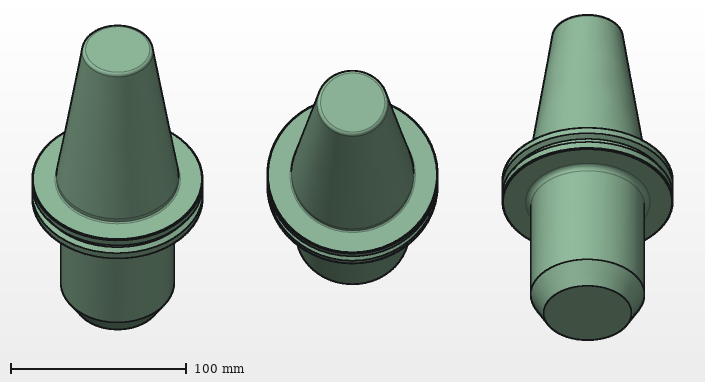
import cadquery as cq
import math

total_height = 201.5

gauge_height = 99.8
gauge_radius = 34.9
taper_slope = 7 / 48
taper_top_radius = gauge_radius - taper_slope * (total_height - gauge_height)
taper_top_round = 2.0
taper_foot_fillet = 0.8

flange_diameter = 97.4
flange_radius = flange_diameter / 2
flange_top = gauge_height - 3.2
flange_bottom = flange_top - 15.7
flange_chamfer = 0.6
groove_height = 89.0
groove_depth = 3.0
groove_floor_half = 1.5
groove_wall_angle = 30
groove_mouth_half = groove_floor_half + groove_depth * math.tan(math.radians(groove_wall_angle))

shank_radius = 32.5
shank_fillet = 3.0
nose_radius = 25.0
nose_height = 13.3


def make_body():
    """Revolve the taper, plain flange and shank as one profile."""
    profile = (
        cq.Workplane("XZ")
        .moveTo(0, 0)
        .lineTo(nose_radius, 0)
        .lineTo(shank_radius, nose_height)
        .lineTo(shank_radius, flange_bottom - shank_fillet)
        .radiusArc((shank_radius + shank_fillet, flange_bottom), shank_fillet)
        .lineTo(flange_radius - flange_chamfer, flange_bottom)
        .lineTo(flange_radius, flange_bottom + flange_chamfer)
        .lineTo(flange_radius, flange_top - flange_chamfer)
        .lineTo(flange_radius - flange_chamfer, flange_top)
        .lineTo(gauge_radius + taper_foot_fillet, flange_top)
        .radiusArc((gauge_radius, flange_top + taper_foot_fillet), taper_foot_fillet)
        .lineTo(gauge_radius, gauge_height)
        .lineTo(taper_top_radius, total_height)
        .lineTo(0, total_height)
        .close()
    )
    body = profile.revolve(360, (0, 0, 0), (0, 1, 0))
    return body.faces(">Z").edges().fillet(taper_top_round)


def make_groove():
    """Ring-shaped cutter for the V groove around the flange."""
    floor_radius = flange_radius - groove_depth
    profile = cq.Workplane("XZ").polyline([
        (floor_radius, groove_height - groove_floor_half),
        (flange_radius, groove_height - groove_mouth_half),
        (flange_radius, groove_height + groove_mouth_half),
        (floor_radius, groove_height + groove_floor_half),
    ]).close()
    return profile.revolve(360, (0, 0, 0), (0, 1, 0))


result = make_body().cut(make_groove())